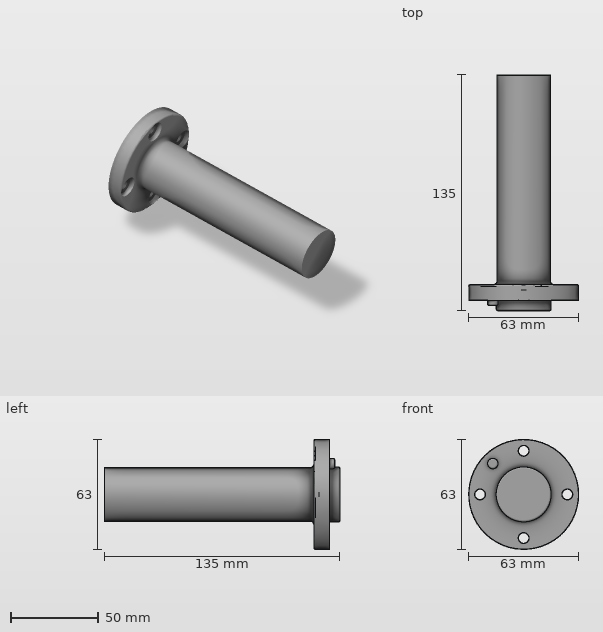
import cadquery as cq
import math

total_length = 135.0
tube_diameter = 30.75
tube_root_fillet = 2.0

flange_diameter = 63.0
flange_thickness = 9.0
flange_back_fillet = 1.0

pilot_diameter = 31.48
pilot_length = 6.0
pilot_fillet = 1.0

bolt_circle_diameter = 50.0
bolt_count = 4
bolt_hole_diameter = 6.0
counterbore_diameter = 12.0
counterbore_depth = 3.0

pin_diameter = 6.0
pin_height = 3.0
pin_fillet = 1.0
pin_angle = 135.0

pilot_end = -pilot_length
flange_back = flange_thickness
tube_end = total_length - pilot_length


def cylinder(diameter, y_start, y_end, x=0.0, z=0.0):
    """Cylinder parallel to Y between two stations."""
    return cq.Workplane(
        cq.Solid.makeCylinder(
            diameter / 2,
            y_end - y_start,
            cq.Vector(x, y_start, z),
            cq.Vector(0, 1, 0),
        )
    )


def on_bolt_circle(angle):
    """X and Z of a point on the bolt circle, angle in degrees from +X towards +Z."""
    radius = bolt_circle_diameter / 2
    return radius * math.cos(math.radians(angle)), radius * math.sin(math.radians(angle))


def make_turned_body():
    """Pilot, flange and tube as one half profile in the XY plane, revolved about Y."""
    tube_radius = tube_diameter / 2
    flange_radius = flange_diameter / 2
    pilot_radius = pilot_diameter / 2
    profile = (
        cq.Workplane("XY")
        .moveTo(0, pilot_end)
        .lineTo(pilot_radius - pilot_fillet, pilot_end)
        .radiusArc((pilot_radius, pilot_end + pilot_fillet), -pilot_fillet)
        .lineTo(pilot_radius, 0)
        .lineTo(flange_radius, 0)
        .lineTo(flange_radius, flange_back - flange_back_fillet)
        .radiusArc((flange_radius - flange_back_fillet, flange_back), -flange_back_fillet)
        .lineTo(tube_radius + tube_root_fillet, flange_back)
        .radiusArc((tube_radius, flange_back + tube_root_fillet), tube_root_fillet)
        .lineTo(tube_radius, tube_end)
        .lineTo(0, tube_end)
        .close()
    )
    return profile.revolve(360, (0, 0, 0), (0, 1, 0))


def make_pin():
    """Locating pin with a rounded tip."""
    x, z = on_bolt_circle(pin_angle)
    return cylinder(pin_diameter, -pin_height, 0, x, z).faces("<Y").edges().fillet(pin_fillet)


def make_bolt_hole(angle):
    """Through hole and the counterbore behind it."""
    x, z = on_bolt_circle(angle)
    hole = cylinder(bolt_hole_diameter, 0, flange_back, x, z)
    counterbore = cylinder(counterbore_diameter, flange_back - counterbore_depth, flange_back, x, z)
    return hole.union(counterbore)


result = make_turned_body().union(make_pin())
for index in range(bolt_count):
    result = result.cut(make_bolt_hole(index * 360 / bolt_count))